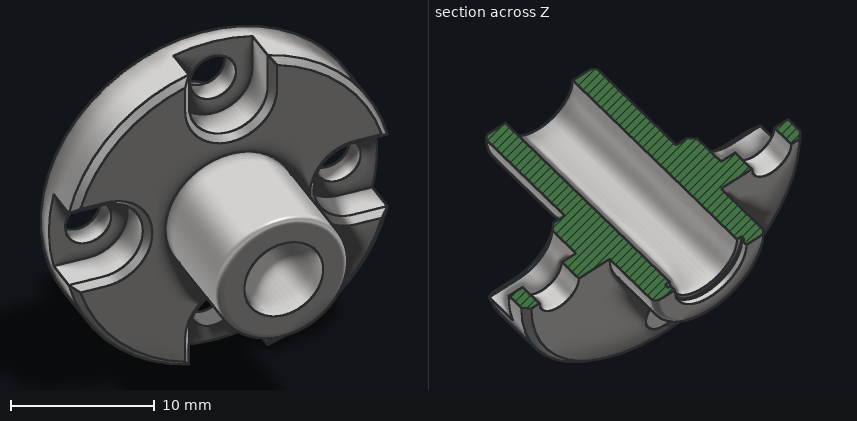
import cadquery as cq

hub_diameter = 10.0
hub_length = 19.0
hub_front_length = 5.0
hub_edge_radius = 0.5

flange_diameter = 25.0
flange_thickness = 5.0
edge_chamfer = 0.5

bore_diameter = 6.0
mouth_diameter = 6.4
mouth_depth = 0.5
groove_diameter = 6.8
groove_width = 0.3

bolt_count = 4
bolt_hole_diameter = 3.5
bolt_circle_radius = 9.5
notch_width = 6.0
notch_depth = 3.1
notch_taper_angle = 45

hub_front_x = -hub_front_length
flange_front_x = 0.0
flange_back_x = flange_front_x + flange_thickness
notch_floor_x = flange_back_x - notch_depth


def cylinder(diameter, start_x, length):
    """Solid cylinder along +X, centred on the hub axis."""
    return cq.Workplane("YZ", origin=(start_x, 0, 0)).circle(diameter / 2).extrude(length)


def notch_outline(start_x, width):
    """Round-ended outline around the +Y bolt hole, running out past the rim."""
    half_width = width / 2
    outer_y = flange_diameter
    return (
        cq.Workplane("YZ", origin=(start_x, 0, 0))
        .moveTo(outer_y, -half_width)
        .lineTo(bolt_circle_radius, -half_width)
        .threePointArc((bolt_circle_radius - half_width, 0), (bolt_circle_radius, half_width))
        .lineTo(outer_y, half_width)
        .close()
    )


def make_flange():
    """Chamfered disc with the bolt holes and their flared notches cut out."""
    flange = cylinder(flange_diameter, flange_front_x, flange_thickness).edges().chamfer(edge_chamfer)
    hole = cylinder(bolt_hole_diameter, flange_front_x, flange_thickness)
    hole = hole.translate((0, bolt_circle_radius, 0))
    notch = notch_outline(notch_floor_x, notch_width).extrude(notch_depth)
    flare_width = notch_width + 2 * edge_chamfer
    flare = notch_outline(flange_back_x, flare_width).extrude(-edge_chamfer, taper=notch_taper_angle)
    cutter = hole.union(notch).union(flare)
    for index in range(bolt_count):
        angle = index * 360 / bolt_count
        flange = flange.cut(cutter.rotate((0, 0, 0), (1, 0, 0), angle))
    return flange


def make_hub():
    """Plain hub with rounded end edges."""
    return cylinder(hub_diameter, hub_front_x, hub_length).edges().fillet(hub_edge_radius)


def bore_cutter():
    """Through bore with the wider mouth and the ring groove behind it."""
    bore = cylinder(bore_diameter, hub_front_x, hub_length)
    mouth = cylinder(mouth_diameter, hub_front_x, mouth_depth)
    groove = cylinder(groove_diameter, hub_front_x + mouth_depth, groove_width)
    return bore.union(mouth).union(groove)


result = make_flange().union(make_hub()).cut(bore_cutter())